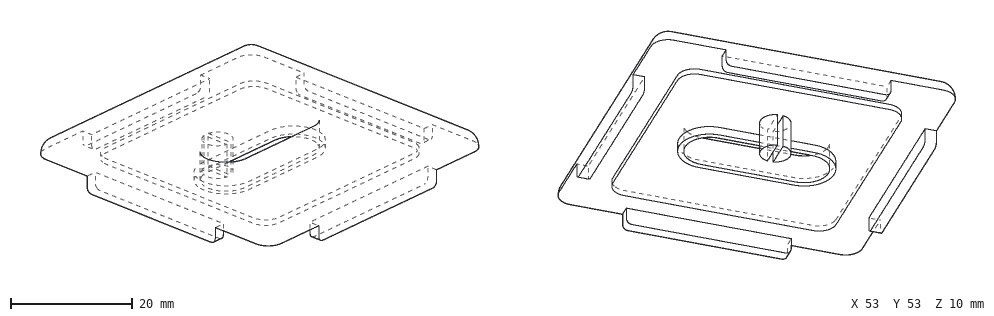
import cadquery as cq

SIDE = 53.0
TOTAL_HEIGHT = 10.0
PLATE_THICKNESS = 3.0
EDGE_RADIUS = 2.95

SLOT_WIDTH = 8.5
SLOT_LENGTH = 25.0
SLOT_EDGE_RADIUS = 0.5

COLLAR_WALL = 1.0
COLLAR_DEPTH = 5.5

PAD_SIDE = 39.0
PAD_HEIGHT = 1.0
PAD_CORNER_RADIUS = 3.0

TAB_LENGTH = 28.8
TAB_THICKNESS = 2.0
TAB_HEIGHT = 3.0
TAB_CORNER_RADIUS = 1.0

PEG_DIAMETER = 5.2
PEG_X = -9.5
PEG_GAP = 1.0

PLATE_BOTTOM = -PLATE_THICKNESS


def cover_plate():
    """Square plate with rounded corners and a rounded top edge."""
    plate = cq.Workplane("XY").box(SIDE, SIDE, PLATE_THICKNESS, centered=(True, True, False))
    plate = plate.translate((0, 0, PLATE_BOTTOM))
    return plate.edges("|Z or >Z").fillet(EDGE_RADIUS)


def pad():
    """Rounded square standing off the underside of the plate."""
    block = cq.Workplane("XY").workplane(offset=PLATE_BOTTOM).rect(PAD_SIDE, PAD_SIDE).extrude(-PAD_HEIGHT)
    return block.edges("|Z").fillet(PAD_CORNER_RADIUS)


def rim_tab(angle):
    """Tab flush with the -Y side, with rounded lower ends, turned about Z."""
    tab = (
        cq.Workplane("XY")
        .workplane(offset=PLATE_BOTTOM)
        .center(0, (TAB_THICKNESS - SIDE) / 2)
        .rect(TAB_LENGTH, TAB_THICKNESS)
        .extrude(-TAB_HEIGHT)
        .edges("|Y and <Z")
        .fillet(TAB_CORNER_RADIUS)
    )
    return tab.rotate((0, 0, 0), (0, 0, 1), angle)


def split_peg():
    """Round peg cut in two halves by a gap that runs along X."""
    height = TOTAL_HEIGHT - PLATE_THICKNESS
    gap_height = height - PAD_HEIGHT
    peg = cq.Workplane("XY").center(PEG_X, 0).circle(PEG_DIAMETER / 2).extrude(height)
    gap = cq.Workplane("XY").center(PEG_X, 0).rect(PEG_DIAMETER, PEG_GAP).extrude(gap_height)
    return peg.cut(gap).translate((0, 0, -TOTAL_HEIGHT))


def slot_prism(margin, depth):
    """Slot outline grown by margin on every side, run down from the top face."""
    return cq.Workplane("XY").slot2D(SLOT_LENGTH + 2 * margin, SLOT_WIDTH + 2 * margin, 90).extrude(-depth)


def round_slot_mouth(body):
    """Round the edge where the slot meets the top face."""
    slot_mouth = cq.selectors.BoxSelector(
        (-SLOT_WIDTH, -SLOT_LENGTH, -SLOT_EDGE_RADIUS / 2),
        (SLOT_WIDTH, SLOT_LENGTH, SLOT_EDGE_RADIUS / 2),
        boundingbox=True,
    )
    return body.edges(slot_mouth).fillet(SLOT_EDGE_RADIUS)


result = cover_plate().union(pad()).union(split_peg()).union(slot_prism(COLLAR_WALL, COLLAR_DEPTH))
for angle in (0, 90, 180, 270):
    result = result.union(rim_tab(angle))
result = result.cut(slot_prism(0, TOTAL_HEIGHT))
result = round_slot_mouth(result)